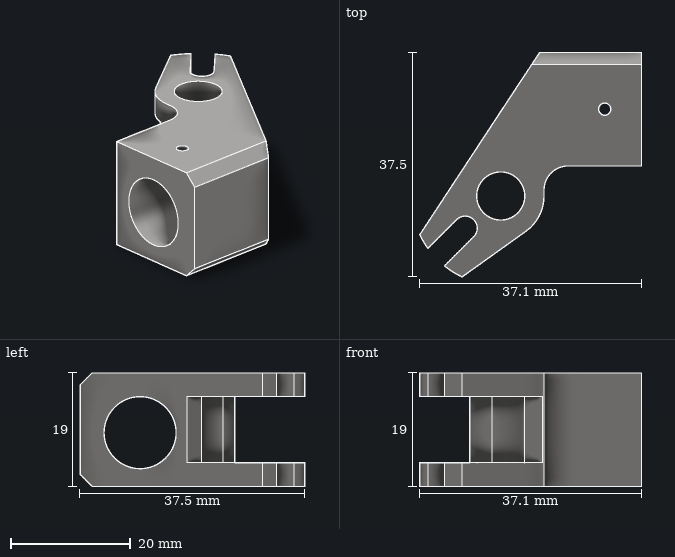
import cadquery as cq
import math


thickness = 19.0
block_front = 5.0
block_back = block_front + thickness
block_right = 23.515
block_back_left = 6.5
back_chamfer = 2.0

pivot_diameter = 8.0
boss_radius = 7.25
inner_fillet = 4.0
tip_radius = 15.0
tip_width = 10.0
arm_angle = math.radians(225)

plate_thickness = 4.0
gap_height = thickness - 2 * plate_thickness
web_distance = 2.33

slot_width = 4.0
slot_end_distance = 8.0
slot_offset = 0.4

bore_diameter = 12.0
bore_from_back = 10.0
bore_from_top = 10.0
pin_diameter = 2.0
pin_from_right = 6.15
pin_from_back = 9.5


def polar(radius, angle):
    return (radius * math.cos(angle), radius * math.sin(angle))


tip_half_angle = math.asin(tip_width / 2 / tip_radius)
outer_tip_angle = arm_angle - tip_half_angle
inner_tip_angle = arm_angle + tip_half_angle
outer_tip = polar(tip_radius, outer_tip_angle)
inner_tip = polar(tip_radius, inner_tip_angle)

side_angle = math.atan2(block_back - outer_tip[1], block_back_left - outer_tip[0])


def make_body():
    """Extruded outline of block and arm."""
    tangent_angle = inner_tip_angle + math.acos(boss_radius / tip_radius)
    boss_middle_angle = (tangent_angle + 2 * math.pi) / 2
    fillet_x = boss_radius + inner_fillet
    fillet_y = block_front - inner_fillet
    fillet_step = polar(inner_fillet, math.radians(135))
    return (
        cq.Workplane("XY")
        .workplane(offset=-thickness / 2)
        .moveTo(block_back_left, block_back)
        .lineTo(*outer_tip)
        .threePointArc(polar(tip_radius, arm_angle), inner_tip)
        .lineTo(*polar(boss_radius, tangent_angle))
        .threePointArc(polar(boss_radius, boss_middle_angle), (boss_radius, 0))
        .lineTo(boss_radius, fillet_y)
        .threePointArc(
            (fillet_x + fillet_step[0], fillet_y + fillet_step[1]),
            (fillet_x, block_front),
        )
        .lineTo(block_right, block_front)
        .lineTo(block_right, block_back)
        .close()
        .extrude(thickness)
    )


def make_gap():
    """Space between the plates, ending at a web square to the sloping side."""
    reach = 2 * tip_radius
    return (
        cq.Workplane("XY")
        .box(reach, 2 * reach, gap_height)
        .translate((web_distance - reach / 2, 0, 0))
        .rotate((0, 0, 0), (0, 0, 1), math.degrees(side_angle))
    )


def make_slot():
    """Round-ended slot, open at the tip and set slightly off the pivot axis."""
    length = tip_radius
    straight = (
        cq.Workplane("XY")
        .box(length, slot_width, thickness)
        .translate((slot_end_distance + length / 2, 0, 0))
    )
    round_end = (
        cq.Workplane("XY")
        .center(slot_end_distance, 0)
        .circle(slot_width / 2)
        .extrude(thickness / 2, both=True)
    )
    return (
        straight.union(round_end)
        .translate((0, -slot_offset, 0))
        .rotate((0, 0, 0), (0, 0, 1), math.degrees(arm_angle))
    )


def make_vertical_hole(x, y, diameter):
    return cq.Workplane("XY").center(x, y).circle(diameter / 2).extrude(thickness, both=True)


def make_bore():
    """Bore along X through the whole block."""
    return (
        cq.Workplane("YZ")
        .center(block_back - bore_from_back, thickness / 2 - bore_from_top)
        .circle(bore_diameter / 2)
        .extrude(2 * block_right, both=True)
    )


body = make_body()
body = body.faces(">Y").edges("|X").chamfer(back_chamfer)
body = body.cut(make_gap())
body = body.cut(make_slot())
body = body.cut(make_vertical_hole(0, 0, pivot_diameter))
body = body.cut(make_vertical_hole(block_right - pin_from_right, block_back - pin_from_back, pin_diameter))
body = body.cut(make_bore())

result = body